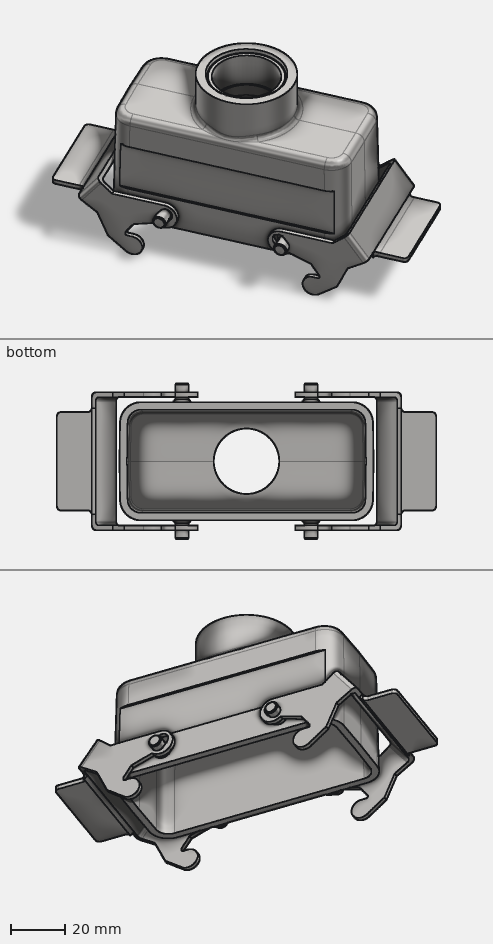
import cadquery as cq
import math

HOOD_HEIGHT = 45.0
HOOD_HALF_LENGTH = 46.7
HOOD_HALF_WIDTH = 21.8
END_DRAFT = 0.7
SIDE_DRAFT = 1.1
PARTING_DRAFT = 0.3
CORNER_RADIUS = 7.8
ROOF_RADIUS = 3.3
WALL = 2.8

RECESS_BOTTOM = 13.0
RECESS_TOP = 32.0
RECESS_HALF_WIDTH_TOP = 20.1
RECESS_HALF_WIDTH_BOTTOM = RECESS_HALF_WIDTH_TOP + SIDE_DRAFT * (RECESS_TOP - RECESS_BOTTOM) / HOOD_HEIGHT

NECK_TOP = 61.0
NECK_DIAMETER = 37.4
NECK_ROOT_RADIUS = 2.0
SEAT_Z = 46.7
SLEEVE_TOP = NECK_TOP - 1.3
MOUTH_DIAMETER = 30.1
SLEEVE_OUTER = 29.0
SLEEVE_INNER = 25.5
SLEEVE_CHAMFER = 0.35
CABLE_HOLE = 24.0

PIN_X = 23.7
PIN_Z = 6.1
PIN_DIAMETER = 5.0
PIN_END = 28.6
PIN_CHAMFER = 0.4
PIN_FOOT_END = 22.7
PIN_FOOT_GROWTH = 0.8

SHEET = 1.8
LEVER_HALF_WIDTH = 25.4
BEND_OUTER = 2.0
BEND_INNER = 1.4
PLATE_TOP = (-49.2, 17.3)
PLATE_BOTTOM = (-56.9, 7.3)
PLATE_RISE = (PLATE_TOP[0] - PLATE_BOTTOM[0], PLATE_TOP[1] - PLATE_BOTTOM[1])
PLATE_LENGTH = math.hypot(*PLATE_RISE)
PLATE_NORMAL = (PLATE_RISE[1] / PLATE_LENGTH, -PLATE_RISE[0] / PLATE_LENGTH)
ARM_TOP_X = -43.2
SLOT_SHIFT = (1.5, 2.0)
EYE_RADIUS = 5.09
EYE_END_X = -26.2
NOTCH_START = (-34.7, 0.4)
NOTCH_CORNER_X = -38.9
NOTCH_RADIUS = 0.8
HOOK_CENTER = (-35.4, -9.5)
HOOK_RADIUS = 4.0
HOOK_BACK = (-44.9, -7.4)
SHOULDER = (-49.1, 2.1)

TAB_END = -69.7
TAB_BEND = -59.0
TAB_TOP = 6.8
TAB_HALF_WIDTH = 18.1
TAB_CORNER = 1.7
TAB_FLARE = 1.4


def drafted_box(inset):
    """The hood's outer shape, or its cavity when inset by the wall thickness.

    Two mirrored halves meet on the parting plane Y = 0, where the ends and
    the roof each come to a faint ridge.
    """
    half_length = HOOD_HALF_LENGTH - inset
    half_width = HOOD_HALF_WIDTH - inset
    ridge = HOOD_HEIGHT - inset
    eaves = ridge - PARTING_DRAFT

    def vertex(end, side, z):
        """Vertex at one end (-1 or 1), on the parting plane (side 0) or the long side (side 1)."""
        lean = z / HOOD_HEIGHT
        y = side * (half_width - SIDE_DRAFT * lean)
        return cq.Vector(end * (half_length - END_DRAFT * lean - PARTING_DRAFT * y / half_width), y, z)

    around = [(1, 0), (1, 1), (-1, 1), (-1, 0)]
    base = [vertex(end, side, 0) for end, side in around]
    roof = [vertex(end, side, eaves if side else ridge) for end, side in around]
    polygons = [base, roof]
    for i in range(len(around)):
        polygons.append([base[i - 1], base[i], roof[i], roof[i - 1]])
    faces = [cq.Face.makeFromWires(cq.Wire.makePolygon(points, close=True)) for points in polygons]
    half = cq.Workplane(cq.Solid.makeSolid(cq.Shell.makeShell(faces)))

    for end in (-1, 1):
        corner = (end * half_length, half_width, ridge / 2)
        half = half.edges(cq.selectors.NearestToPointSelector(corner)).fillet(CORNER_RADIUS - inset)
    if inset < ROOF_RADIUS:
        rim = half.faces(">Z").edges().filter(lambda edge: edge.Center().y > PARTING_DRAFT)
        half = rim.fillet(ROOF_RADIUS - inset)
    return half.union(half.mirror("XZ"))


def side_recess(side):
    half_length = HOOD_HALF_LENGTH
    outside = side * (HOOD_HALF_WIDTH + 1.4)
    return (
        cq.Workplane("YZ")
        .polyline([
            (side * RECESS_HALF_WIDTH_BOTTOM, RECESS_BOTTOM),
            (outside, RECESS_BOTTOM),
            (outside, RECESS_TOP),
            (side * RECESS_HALF_WIDTH_TOP, RECESS_TOP),
        ])
        .close()
        .extrude(half_length, both=True)
    )


def pin(x, side):
    """Chamfered pin with a conical foot, from inside the hood wall outward."""
    start = HOOD_HALF_WIDTH - WALL / 2
    radius = PIN_DIAMETER / 2
    foot_radius = radius + PIN_FOOT_GROWTH * (PIN_FOOT_END - start) / (PIN_FOOT_END - HOOD_HALF_WIDTH)
    half_section = [
        (0, start), (foot_radius, start), (radius, PIN_FOOT_END), (radius, PIN_END - PIN_CHAMFER),
        (radius - PIN_CHAMFER, PIN_END), (0, PIN_END),
    ]
    body = (
        cq.Workplane("XY")
        .polyline([(r, side * y) for r, y in half_section])
        .close()
        .revolve(360, (0, 0), (0, 1))
    )
    return body.translate((x, 0, PIN_Z))


def cable_bore():
    """Stepped bore: cable hole, seat for the sleeve and tapered mouth."""
    seat_radius = SLEEVE_OUTER / 2
    return (
        cq.Workplane("XZ")
        .polyline([
            (0, 0), (CABLE_HOLE / 2, 0), (CABLE_HOLE / 2, SEAT_Z), (seat_radius, SEAT_Z),
            (seat_radius, SLEEVE_TOP), (MOUTH_DIAMETER / 2, NECK_TOP), (0, NECK_TOP),
        ])
        .close()
        .revolve(360, (0, 0), (0, 1))
    )


def make_hood():
    hood = drafted_box(0)
    neck_bottom = HOOD_HEIGHT / 2
    neck = (
        cq.Workplane("XY")
        .workplane(offset=neck_bottom)
        .circle(NECK_DIAMETER / 2)
        .extrude(NECK_TOP - neck_bottom)
    )
    hood = hood.union(neck)
    reach = NECK_DIAMETER / 2 + 1.4
    neck_root = cq.selectors.BoxSelector(
        (-reach, -reach, HOOD_HEIGHT - ROOF_RADIUS), (reach, reach, HOOD_HEIGHT + 1.4)
    )
    hood = hood.edges(neck_root).fillet(NECK_ROOT_RADIUS)

    hood = hood.cut(drafted_box(WALL))
    for side in (-1, 1):
        hood = hood.cut(side_recess(side))
        for x in (-PIN_X, PIN_X):
            hood = hood.union(pin(x, side))
    return hood.cut(cable_bore())


def make_sleeve():
    return (
        cq.Workplane("XY")
        .workplane(offset=SEAT_Z)
        .circle(SLEEVE_OUTER / 2)
        .extrude(SLEEVE_TOP - SEAT_Z)
        .faces(">Z")
        .chamfer(SLEEVE_CHAMFER)
        .faces(">Z")
        .workplane()
        .hole(SLEEVE_INNER)
    )


def lever_arms():
    """Lever silhouette in X and Z, as thick as the lever is wide."""
    eye = (-PIN_X + SLOT_SHIFT[0] / 2, PIN_Z + SLOT_SHIFT[1] / 2)
    arm_top = eye[1] + EYE_RADIUS
    eye_end_z = eye[1] - math.sqrt(EYE_RADIUS**2 - (EYE_END_X - eye[0])**2)
    hook_top = HOOK_CENTER[1] + HOOK_RADIUS

    back_x = HOOK_BACK[0] - HOOK_CENTER[0]
    back_z = HOOK_BACK[1] - HOOK_CENTER[1]
    tangent_angle = math.atan2(back_z, back_x) + math.acos(HOOK_RADIUS / math.hypot(back_x, back_z))
    hook_end = (
        HOOK_CENTER[0] + HOOK_RADIUS * math.cos(tangent_angle),
        HOOK_CENTER[1] + HOOK_RADIUS * math.sin(tangent_angle),
    )

    arms = (
        cq.Workplane("XZ")
        .moveTo(*PLATE_TOP)
        .lineTo(ARM_TOP_X, arm_top)
        .lineTo(eye[0], arm_top)
        .threePointArc((eye[0] + EYE_RADIUS, eye[1]), (eye[0], eye[1] - EYE_RADIUS))
        .threePointArc(
            (eye[0] - EYE_RADIUS * math.sin(0.35), eye[1] - EYE_RADIUS * math.cos(0.35)),
            (EYE_END_X, eye_end_z),
        )
        .lineTo(*NOTCH_START)
        .lineTo(NOTCH_CORNER_X, hook_top)
        .lineTo(HOOK_CENTER[0], hook_top)
        .threePointArc((HOOK_CENTER[0] + HOOK_RADIUS, HOOK_CENTER[1]), hook_end)
        .lineTo(*HOOK_BACK)
        .lineTo(*SHOULDER)
        .lineTo(*PLATE_BOTTOM)
        .close()
        .extrude(LEVER_HALF_WIDTH, both=True)
    )
    notch = cq.selectors.NearestToPointSelector((NOTCH_CORNER_X, 0, hook_top))
    return arms.edges("|Y").edges(notch).fillet(NOTCH_RADIUS)


def sheet_channel():
    """U of bent sheet running along the tilted cross plate and open toward the hood."""
    depth = PIN_X + HOOD_HALF_LENGTH
    plane = cq.Plane(
        origin=(PLATE_BOTTOM[0], 0, PLATE_BOTTOM[1]),
        xDir=(PLATE_NORMAL[0], 0, PLATE_NORMAL[1]),
        normal=(PLATE_RISE[0], 0, PLATE_RISE[1]),
    )

    def block(start, half_width, radius):
        return (
            cq.Workplane(plane)
            .moveTo(start + depth / 2, 0)
            .rect(depth, 2 * half_width)
            .extrude(depth, both=True)
            .edges(cq.selectors.ParallelDirSelector(plane.zDir))
            .edges(cq.selectors.DirectionMinMaxSelector(plane.xDir, False))
            .fillet(radius)
        )

    inside = block(SHEET, LEVER_HALF_WIDTH - SHEET, BEND_INNER)
    return block(0, LEVER_HALF_WIDTH, BEND_OUTER).cut(inside)


def pin_slot():
    radius = PIN_DIAMETER / 2
    length = math.hypot(*SLOT_SHIFT)
    return (
        cq.Workplane("XZ")
        .center(-PIN_X + SLOT_SHIFT[0] / 2, PIN_Z + SLOT_SHIFT[1] / 2)
        .slot2D(length + 2 * radius, 2 * radius, math.degrees(math.atan2(SLOT_SHIFT[1], SLOT_SHIFT[0])))
        .extrude(LEVER_HALF_WIDTH + 1.4, both=True)
    )


def finger_tab():
    """Tab bent out of the cross plate's lower edge, flared where it joins the plate."""
    shoulder_x = SHOULDER[0] - PLATE_BOTTOM[0]
    shoulder_z = SHOULDER[1] - PLATE_BOTTOM[1]
    root_share = SHEET / math.hypot(shoulder_x, shoulder_z)
    root_x = PLATE_BOTTOM[0] + root_share * shoulder_x
    root_z = PLATE_BOTTOM[1] + root_share * shoulder_z
    overlap_x = PLATE_RISE[0] * SHEET / PLATE_LENGTH
    overlap_z = PLATE_RISE[1] * SHEET / PLATE_LENGTH
    tab_bottom = TAB_TOP - SHEET
    section = (
        cq.Workplane("XZ")
        .moveTo(TAB_END, TAB_TOP)
        .lineTo(TAB_BEND, TAB_TOP)
        .tangentArcPoint(PLATE_BOTTOM, relative=False)
        .lineTo(PLATE_BOTTOM[0] + overlap_x, PLATE_BOTTOM[1] + overlap_z)
        .lineTo(root_x, root_z)
        .lineTo(PLATE_BOTTOM[0], tab_bottom)
        .lineTo(TAB_END, tab_bottom)
        .close()
        .extrude(LEVER_HALF_WIDTH, both=True)
    )
    flare_start = PLATE_BOTTOM[0] - TAB_FLARE
    flared_half_width = TAB_HALF_WIDTH + TAB_FLARE
    flare_turn = TAB_FLARE * math.sqrt(0.5)
    flare_middle = (flare_start + flare_turn, flared_half_width - flare_turn)
    plan = (
        cq.Workplane("XY")
        .moveTo(TAB_END, TAB_HALF_WIDTH)
        .lineTo(flare_start, TAB_HALF_WIDTH)
        .threePointArc(flare_middle, (PLATE_BOTTOM[0], flared_half_width))
        .lineTo(root_x, flared_half_width)
        .lineTo(root_x, -flared_half_width)
        .lineTo(PLATE_BOTTOM[0], -flared_half_width)
        .threePointArc((flare_middle[0], -flare_middle[1]), (flare_start, -TAB_HALF_WIDTH))
        .lineTo(TAB_END, -TAB_HALF_WIDTH)
        .close()
        .extrude(PLATE_TOP[1])
        .edges("|Z and <X")
        .fillet(TAB_CORNER)
    )
    return section.intersect(plan)


def make_lever():
    """The lever at the -X end of the hood."""
    return lever_arms().intersect(sheet_channel()).union(finger_tab()).cut(pin_slot())


hood = make_hood()
sleeve = make_sleeve()
left_lever = make_lever()
levers = [left_lever, left_lever.mirror("YZ")]

result = cq.Compound.makeCompound([hood.val(), sleeve.val(), *[lever.val() for lever in levers]])